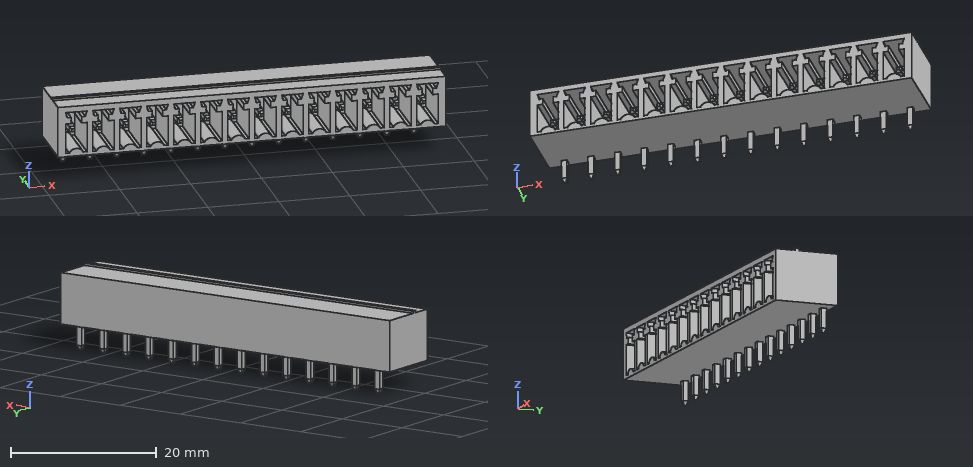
import cadquery as cq


pin_count = 14
pitch = 3.81
end_margin = 2.6
body_length = (pin_count - 1) * pitch + 2 * end_margin

body_depth = 9.2
body_height = 7.25

rib_height = 0.3
rib_width = 0.6
rib_front = 2.9

socket_width = 3.0
socket_floor = 0.5
socket_shoulder = 4.75
socket_ceiling = 6.4
socket_depth = 7.2
neck_width = 1.5
wing_floor = 5.65
wing_floor_width = 2.5
wing_ceiling_width = 3.0
ridge_width = 2.0
ridge_height = 0.6

pin_size = 0.8
pin_axis_height = 3.05
pin_recess = 2.0
tail_length = 3.4
tail_axis_from_back = 1.15
tip_length = 0.6
tip_size = 0.4

pin_positions = [(i - (pin_count - 1) / 2) * pitch for i in range(pin_count)]


def make_body():
    block = cq.Workplane("XY").box(body_length, body_depth, body_height, centered=(True, False, False))
    rib = (
        cq.Workplane("XY", origin=(0, rib_front, body_height))
        .box(body_length, rib_width, rib_height, centered=(True, False, False))
    )
    return block.union(rib)


def make_socket(x):
    """Keyed cavity: wide chamber, narrow neck, flared wings above, rounded ridge on the floor."""
    half = socket_width / 2
    half_neck = neck_width / 2
    half_ridge = ridge_width / 2
    half_wing_floor = wing_floor_width / 2
    half_wing_ceiling = wing_ceiling_width / 2
    return (
        cq.Workplane("XZ", origin=(x, 0, 0))
        .moveTo(-half, socket_floor)
        .lineTo(-half_ridge, socket_floor)
        .threePointArc((0, socket_floor + ridge_height), (half_ridge, socket_floor))
        .lineTo(half, socket_floor)
        .lineTo(half, socket_shoulder)
        .lineTo(half_neck, socket_shoulder)
        .lineTo(half_neck, wing_floor)
        .lineTo(half_wing_floor, wing_floor)
        .lineTo(half_wing_ceiling, socket_ceiling)
        .lineTo(-half_wing_ceiling, socket_ceiling)
        .lineTo(-half_wing_floor, wing_floor)
        .lineTo(-half_neck, wing_floor)
        .lineTo(-half_neck, socket_shoulder)
        .lineTo(-half, socket_shoulder)
        .close()
        .extrude(-socket_depth)
    )


def make_leg(plane, length):
    """Square bar along the plane normal, ending in a blunt pyramid; length includes the tip."""
    bar_length = length - tip_length
    bar = cq.Workplane(plane).rect(pin_size, pin_size).extrude(bar_length)
    tip = (
        cq.Workplane(plane)
        .workplane(offset=bar_length)
        .rect(pin_size, pin_size)
        .workplane(offset=tip_length)
        .rect(tip_size, tip_size)
        .loft(combine=True)
    )
    return bar.union(tip)


def make_pin(x):
    """Contact leg toward -Y and solder tail toward -Z, meeting in a square corner inside the body."""
    tail_y = body_depth - tail_axis_from_back
    contact_start = tail_y + pin_size / 2
    contact_plane = cq.Plane(origin=(x, contact_start, pin_axis_height), xDir=(1, 0, 0), normal=(0, -1, 0))
    tail_plane = cq.Plane(origin=(x, tail_y, pin_axis_height), xDir=(1, 0, 0), normal=(0, 0, -1))
    contact = make_leg(contact_plane, contact_start - pin_recess)
    tail = make_leg(tail_plane, pin_axis_height + tail_length)
    return contact.union(tail)


result = make_body()
for position in pin_positions:
    result = result.cut(make_socket(position))
for position in pin_positions:
    result = result.union(make_pin(position))